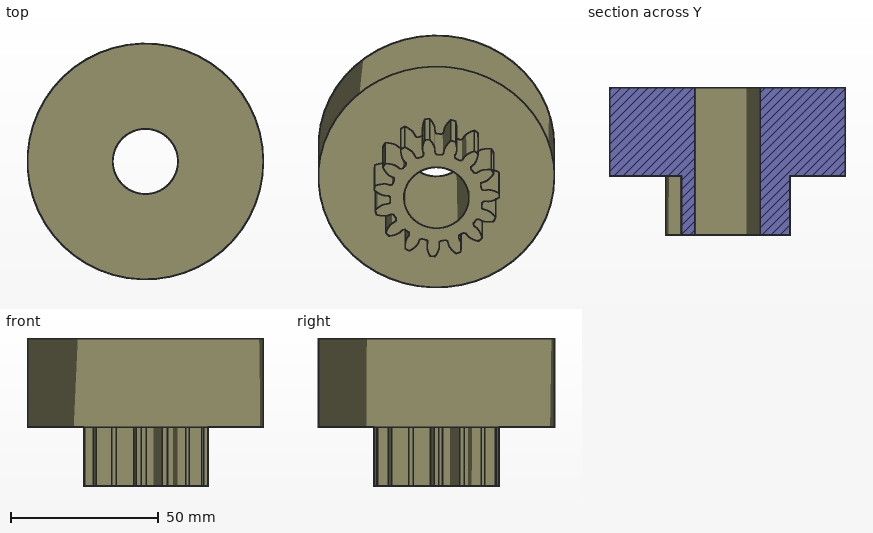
import math

import cadquery as cq

disc_diameter = 80.0
disc_height = 30.0

bore_diameter = 22.0

gear_module = 2.5
tooth_count = 15
pressure_angle = math.radians(20.0)
gear_height = 20.0
addendum = gear_module
dedendum = 1.25 * gear_module
root_fillet_radius = 0.38 * gear_module

pitch_radius = gear_module * tooth_count / 2
base_radius = pitch_radius * math.cos(pressure_angle)
tip_radius = pitch_radius + addendum
root_radius = pitch_radius - dedendum
tooth_pitch = 2 * math.pi / tooth_count
total_height = gear_height + disc_height


def polar(radius, angle):
    return (radius * math.cos(angle), radius * math.sin(angle))


def involute(angle):
    return math.tan(angle) - angle


base_half_angle = tooth_pitch / 4 + involute(pressure_angle)


def tooth_half_angle(radius):
    """Half the angle one tooth spans at a radius on its involute flank."""
    return base_half_angle - involute(math.acos(base_radius / radius))


flank_radii = [
    base_radius,
    (base_radius + pitch_radius) / 2,
    pitch_radius,
    (pitch_radius + tip_radius) / 2,
    tip_radius,
]

fillet_center_radius = root_radius + root_fillet_radius
fillet_half_angle = math.asin(root_fillet_radius / fillet_center_radius)
fillet_top_radius = fillet_center_radius * math.cos(fillet_half_angle)
fillet_center_angle = base_half_angle + fillet_half_angle
fillet_middle_direction = (base_half_angle - math.pi / 2 + fillet_center_angle - math.pi) / 2


def fillet_middle(tooth_angle, side):
    """Middle of the root fillet arc on one side (-1 or +1) of a tooth."""
    center = polar(fillet_center_radius, tooth_angle + side * fillet_center_angle)
    offset = polar(root_fillet_radius, tooth_angle + side * fillet_middle_direction)
    return (center[0] + offset[0], center[1] + offset[1])


def flank_points(tooth_angle, side):
    """Involute flank points from the base circle out to the tip."""
    return [polar(radius, tooth_angle + side * tooth_half_angle(radius)) for radius in flank_radii]


def add_tooth(outline, tooth_angle):
    """Draw one tooth and the root arc after it, counter-clockwise."""
    rising = flank_points(tooth_angle, -1)
    falling = flank_points(tooth_angle, 1)[::-1]
    root_end = polar(root_radius, tooth_angle + fillet_center_angle)
    gap_middle = polar(root_radius, tooth_angle + tooth_pitch / 2)
    next_root_start = polar(root_radius, tooth_angle + tooth_pitch - fillet_center_angle)
    return (
        outline.threePointArc(
            fillet_middle(tooth_angle, -1),
            polar(fillet_top_radius, tooth_angle - base_half_angle),
        )
        .lineTo(*rising[0])
        .threePointArc(rising[1], rising[2])
        .threePointArc(rising[3], rising[4])
        .threePointArc(polar(tip_radius, tooth_angle), falling[0])
        .threePointArc(falling[1], falling[2])
        .threePointArc(falling[3], falling[4])
        .lineTo(*polar(fillet_top_radius, tooth_angle + base_half_angle))
        .threePointArc(fillet_middle(tooth_angle, 1), root_end)
        .threePointArc(gap_middle, next_root_start)
    )


def make_gear():
    """Gear standing on the XY plane, with one tooth centred on +X."""
    outline = cq.Workplane("XY").moveTo(*polar(root_radius, -fillet_center_angle))
    for tooth in range(tooth_count):
        outline = add_tooth(outline, tooth * tooth_pitch)
    return outline.close().extrude(gear_height)


def make_disc():
    """Plain round disc resting on top of the gear."""
    return cq.Workplane("XY").workplane(offset=gear_height).circle(disc_diameter / 2).extrude(disc_height)


def make_bore():
    return cq.Workplane("XY").circle(bore_diameter / 2).extrude(total_height)


result = make_gear().union(make_disc()).cut(make_bore())